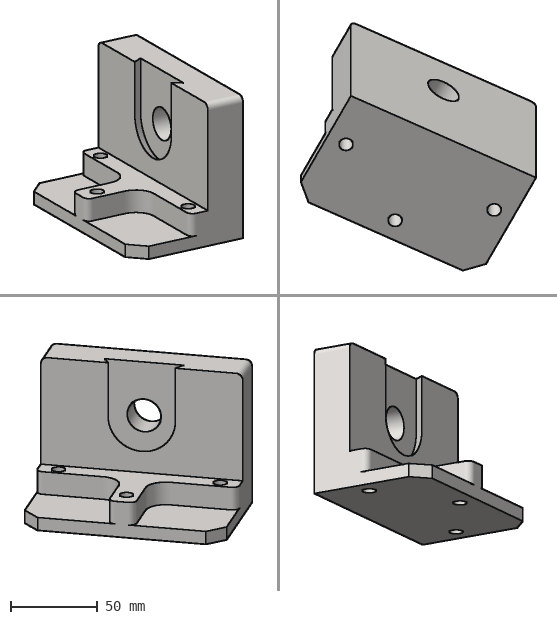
import cadquery as cq

length = 120.0
depth = 74.0
height = 88.0

base_thickness = 8.0
base_chamfer = 10.0

wall_thickness = 24.0
wall_front = depth - wall_thickness
wall_corner_radius = 4.0

ledge_top = 22.0
ledge_width = 12.0
stem_width = 16.0
ledge_corner_radius = 4.0
ledge_inner_radius = 12.0
ledge_front = wall_front - ledge_width

slot_width = 40.0
slot_depth = 6.0
slot_flare_angle = 30.0
slot_center_z = 55.0
bore_diameter = 20.0

hole_diameter = 8.0
hole_spacing = 96.0
stem_hole_y = 12.0
bar_hole_y = wall_front - ledge_width / 2


def block(size_x, y_start, y_end, z_top):
    """Box centred on X that stands on Z = 0."""
    return (
        cq.Workplane("XY")
        .box(size_x, y_end - y_start, z_top, centered=(True, False, False))
        .translate((0, y_start, 0))
    )


def make_base():
    return block(length, 0, depth, base_thickness).edges("|Z and <Y").chamfer(base_chamfer)


def make_wall():
    wall = block(length, wall_front, depth, height)
    return wall.edges("|Y and >Z").fillet(wall_corner_radius)


def make_ledge():
    bar = block(length, ledge_front, wall_front, ledge_top)
    bar = bar.edges("|Z and <Y").fillet(ledge_corner_radius)
    stem = block(stem_width, 0, wall_front, ledge_top)
    stem = stem.edges("|Z and <Y").fillet(ledge_corner_radius)
    inner_corners = cq.selectors.BoxSelector(
        (-stem_width, ledge_front - ledge_corner_radius, 0),
        (stem_width, ledge_front + ledge_corner_radius, ledge_top),
    )
    return bar.union(stem).edges("|Z").edges(inner_corners).fillet(ledge_inner_radius)


def make_slot():
    radius = slot_width / 2
    slot_top = height - slot_center_z + slot_depth
    into_wall = cq.Plane(
        origin=(0, wall_front, slot_center_z), xDir=(-1, 0, 0), normal=(0, 1, 0)
    )
    return (
        cq.Workplane(into_wall)
        .moveTo(-radius, slot_top)
        .lineTo(-radius, 0)
        .threePointArc((0, -radius), (radius, 0))
        .lineTo(radius, slot_top)
        .close()
        .extrude(slot_depth, taper=-slot_flare_angle)
    )


def make_bore():
    return (
        cq.Workplane("XZ")
        .center(0, slot_center_z)
        .circle(bore_diameter / 2)
        .extrude(-depth)
    )


def make_mounting_holes():
    centers = [
        (-hole_spacing / 2, bar_hole_y),
        (hole_spacing / 2, bar_hole_y),
        (0, stem_hole_y),
    ]
    return cq.Workplane("XY").pushPoints(centers).circle(hole_diameter / 2).extrude(ledge_top)


result = make_base().union(make_wall()).union(make_ledge())
result = result.cut(make_slot()).cut(make_bore()).cut(make_mounting_holes())